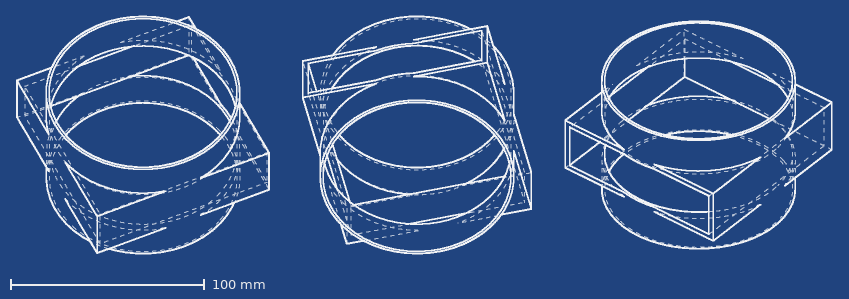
import cadquery as cq

outer_diameter = 100
bore_diameter = 97
collar_height = 20

housing_width = 98
wall = 3
cavity_height = 25
housing_height = cavity_height + 2 * wall
cavity_width = housing_width - 2 * wall
total_height = housing_height + 2 * collar_height


def centred_cylinder(diameter):
    """Full-height cylinder centred on the origin."""
    return cq.Workplane("XY").circle(diameter / 2).extrude(total_height / 2, both=True)


def drawer_cavity():
    """Square cavity with walls on three sides, open through the +Y side."""
    front = -cavity_width / 2
    back = outer_diameter / 2 + wall
    return (
        cq.Workplane("XY")
        .box(cavity_width, back - front, cavity_height)
        .translate((0, (front + back) / 2, 0))
    )


housing = cq.Workplane("XY").box(housing_width, housing_width, housing_height)
body = centred_cylinder(outer_diameter).union(housing)

wall_ring = housing.cut(cq.Workplane("XY").box(cavity_width, cavity_width, housing_height))
wall_ring = wall_ring.intersect(cq.Workplane("XY").box(housing_width, housing_width, cavity_height))

result = body.cut(centred_cylinder(bore_diameter)).union(wall_ring).cut(drawer_cavity())